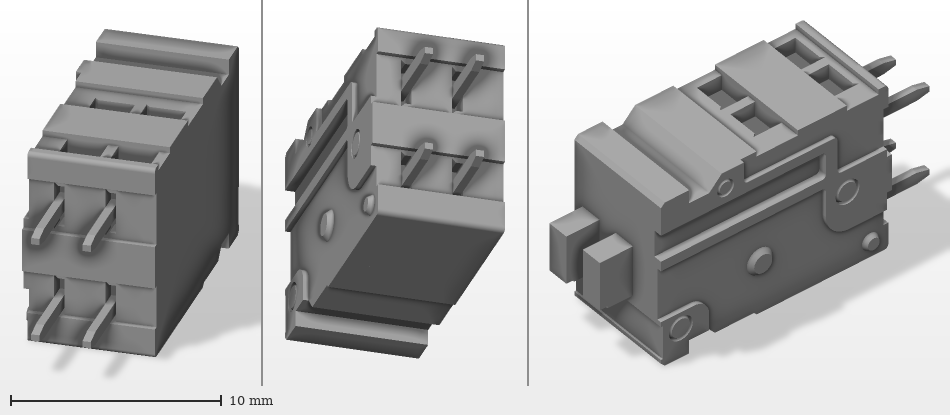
import cadquery as cq


pole_count = 2
end_plate_width = 1.5
pole_pitch = 2.55
body_length = 14.04
body_height = 10.0
front_edge_radius = 0.23
back_edge_chamfer = 0.23

latch_start = 11.1
latch_end = 12.32
top_latch_floor = 9.2
top_ramp_start = 10.35
bottom_latch_floor = 0.8
bottom_ramp_start = 10.54
relief_start = 8.0
relief_depth = 0.18
shelf_depth = 0.31
shelf_floor = body_height - shelf_depth
front_shelf = (0.59, 2.52)
rear_shelf = (5.5, 8.02)
front_step = 0.3
upper_recess = (5.9, 8.65)
lower_recess = (1.55, 3.71)
back_step = 0.12
back_recess = (0.47, 2.48)

raised_height = 0.27
band_top_front = 9.0
band_ledge = 8.68
band_front = 3.3
band_front_ledge = 6.37
band_inner_end = 4.0
band_underside = 5.9
band_bottom = 2.65
band_corner_radius = 0.23
band_sweep_radius = 1.45
groove_depth = 0.5
groove_bottom = 6.5
groove_top = 8.1
corner_tab_top = 2.78
corner_tab_radius = 0.94

bosses = [
    (10.1, 9.01, 0.5, 0.35),
    (2.7, 4.99, 0.72, 0.55),
    (7.82, 3.19, 0.78, 0.55),
    (12.82, 1.8, 0.72, 0.55),
    (1.1, 0.95, 0.5, 0.35),
]

lead_in = 0.2
pocket_width = 2.01
pocket_floor = 8.8
pocket_length = 1.5
slot_width = 0.53
slot_depth = 0.98
slot_end = front_step + slot_depth
upper_slot = (6.22, 8.33)
lower_slot = (lower_recess[0], 3.45)

button_offset = 0.63
button_width = 1.3
button_reach = 2.01
button_bottom = 3.07
button_top = 6.08
button_nose_length = 0.47
button_nose_step = 0.12

contact_thickness = 0.41
prong_height = 0.68
prong_tip_height = 0.33
prong_tip_length = 0.78
prong_reach = 3.5
prong_centres = (2.07, 7.17)
web_width = 0.68
slot_floor_thickness = 0.4
web_front = slot_end + slot_floor_thickness


def extrude_side(points, x_start, width):
    """Extrude a closed outline of (Y, Z) points along X."""
    return cq.Workplane("YZ", origin=(x_start, 0, 0)).polyline(points).close().extrude(width)


def side_box(y_range, z_range, x_start, width):
    """Box given by its Y range, its Z range and its place along X."""
    (y0, y1), (z0, z1) = y_range, z_range
    return extrude_side([(y0, z0), (y1, z0), (y1, z1), (y0, z1)], x_start, width)


def round_corners(body, x_middle, corners, radius):
    """Fillet the edges along X that pass through the given (Y, Z) corners."""
    for y, z in corners:
        edge = cq.selectors.NearestToPointSelector((x_middle, y, z))
        body = body.edges("|X").edges(edge).fillet(radius)
    return body


def profile_slice(x_start, width):
    """Slice of the terminal block with the common side profile."""
    points = [
        (0, 0),
        (0, lower_recess[0]),
        (front_step, lower_recess[0]),
        (front_step, lower_recess[1]),
        (0, lower_recess[1]),
        (0, upper_recess[0]),
        (front_step, upper_recess[0]),
        (front_step, upper_recess[1]),
        (0, upper_recess[1]),
        (0, body_height),
        (front_shelf[0], body_height),
        (front_shelf[0], shelf_floor),
        (front_shelf[1], shelf_floor),
        (front_shelf[1], body_height),
        (rear_shelf[0], body_height),
        (rear_shelf[0], shelf_floor),
        (rear_shelf[1], shelf_floor),
        (rear_shelf[1], body_height),
        (top_ramp_start, body_height),
        (latch_start, top_latch_floor),
        (latch_end, top_latch_floor),
        (latch_end, body_height),
        (body_length - back_edge_chamfer, body_height),
        (body_length, body_height - back_edge_chamfer),
        (body_length, back_recess[1]),
        (body_length - back_step, back_recess[1]),
        (body_length - back_step, back_recess[0]),
        (body_length, back_recess[0]),
        (body_length, back_edge_chamfer),
        (body_length - back_edge_chamfer, 0),
        (latch_end, 0),
        (latch_end, bottom_latch_floor),
        (latch_start, bottom_latch_floor),
        (bottom_ramp_start, relief_depth),
        (relief_start + relief_depth, relief_depth),
        (relief_start, 0),
    ]
    front_corners = [(0, 0), (0, body_height)]
    body = extrude_side(points, x_start, width)
    return round_corners(body, x_start + width / 2, front_corners, front_edge_radius)


def raised_band():
    """Stepped band across the end plate."""
    points = [
        (0, band_bottom),
        (0, band_front_ledge),
        (band_front, band_front_ledge),
        (band_front, band_ledge),
        (band_top_front, band_ledge),
        (band_top_front, body_height),
        (body_length, body_height),
        (body_length, band_underside),
        (band_inner_end, band_underside),
        (band_inner_end, band_bottom),
    ]
    small_corners = [
        (band_front, band_front_ledge),
        (band_front, band_ledge),
        (band_top_front, band_ledge),
        (band_inner_end, band_underside),
    ]
    middle = raised_height / 2
    band = extrude_side(points, 0, raised_height)
    band = round_corners(band, middle, small_corners, band_corner_radius)
    return round_corners(band, middle, [(band_inner_end, band_bottom)], band_sweep_radius)


def side_groove():
    """Groove that runs in from the back of the end plate, inside the raised band."""
    groove = side_box((band_inner_end, body_length), (groove_bottom, groove_top), 0, groove_depth)
    inner_corners = [(band_inner_end, groove_bottom), (band_inner_end, groove_top)]
    return round_corners(groove, groove_depth / 2, inner_corners, band_corner_radius)


def raised_corner_tab():
    """Raised patch with one rounded corner at the lower back of the end plate."""
    tab = side_box((latch_start, body_length), (0, corner_tab_top), 0, raised_height)
    return round_corners(tab, raised_height / 2, [(latch_start, corner_tab_top)], corner_tab_radius)


def boss(y, z, base_radius, top_radius):
    """Tapered round boss that rises from the base face to the outer face of the end plate."""
    return (
        cq.Workplane("YZ", origin=(raised_height, y, z))
        .circle(base_radius)
        .workplane(offset=-raised_height)
        .circle(top_radius)
        .loft(combine=True)
    )


def make_end_plate():
    raised = profile_slice(0, raised_height).intersect(raised_band().union(raised_corner_tab()))
    for y, z, base_radius, _ in bosses:
        clearance = cq.Workplane("YZ", origin=(0, y, z)).circle(base_radius).extrude(raised_height)
        raised = raised.cut(clearance)
    plate = profile_slice(raised_height, end_plate_width - raised_height).union(raised)
    for y, z, base_radius, top_radius in bosses:
        plate = plate.union(boss(y, z, base_radius, top_radius))
    return plate.cut(side_groove())


def top_pocket(x_start, y_start, chamfered_side):
    """Rectangular pocket in the top, chamfered at the mouth of one Y side."""
    pocket = (
        cq.Workplane("XY", origin=(x_start, y_start, pocket_floor))
        .rect(pocket_width, pocket_length, centered=False)
        .extrude(body_height - pocket_floor)
    )
    y_edge = y_start + (pocket_length if chamfered_side > 0 else 0)
    return pocket.union(lead_in_wedge("XY", x_start, y_edge, chamfered_side, pocket_floor, body_height))


def lead_in_wedge(plane, x_start, edge, direction, start, end):
    """Triangular wedge that chamfers one edge of an opening at the -X side of a housing."""
    points = [(x_start, edge), (x_start + lead_in, edge), (x_start, edge + direction * lead_in)]
    return cq.Workplane(plane).workplane(offset=start).polyline(points).close().extrude(end - start)


def front_slot(x_start, z_range, chamfered_sides):
    """Slot in the front face that a prong passes through with clearance."""
    slot = side_box((0, slot_end), z_range, x_start, slot_width)
    for direction in chamfered_sides:
        z_edge = z_range[1] if direction > 0 else z_range[0]
        slot = slot.union(lead_in_wedge("XZ", x_start, z_edge, direction, -slot_end, 0))
    return slot


def push_button(x_start):
    """Button on the back of a housing, with a slightly thinner nose."""
    tip = body_length + button_reach
    nose_bottom = button_bottom + button_nose_step
    points = [
        (body_length, button_bottom),
        (tip - button_nose_length, button_bottom),
        (tip - button_nose_length, nose_bottom),
        (tip, nose_bottom),
        (tip, button_top),
        (body_length, button_top),
    ]
    return extrude_side(points, x_start + button_offset, button_width)


def prong_points(centre):
    """Front outline of one prong, from its lower root around the tip to its upper root."""
    half = prong_height / 2
    half_tip = prong_tip_height / 2
    taper_start = prong_tip_length - prong_reach
    return [
        (web_front, centre - half),
        (taper_start, centre - half),
        (-prong_reach, centre - half_tip),
        (-prong_reach, centre + half_tip),
        (taper_start, centre + half),
        (web_front, centre + half),
    ]


def make_contact(x_start):
    """U-shaped metal contact: two prongs joined by a web behind the slots."""
    lower, upper = prong_centres
    web_back = web_front + web_width
    points = prong_points(lower) + prong_points(upper)
    points += [(web_back, upper + prong_height / 2), (web_back, lower - prong_height / 2)]
    return extrude_side(points, x_start, contact_thickness)


def make_housing(x_start):
    housing = profile_slice(x_start, pole_pitch).union(push_button(x_start))
    housing = housing.cut(top_pocket(x_start, rear_shelf[0], 1))
    housing = housing.cut(top_pocket(x_start, front_shelf[1] - pocket_length, -1))
    housing = housing.cut(front_slot(x_start, upper_slot, (1, -1)))
    housing = housing.cut(front_slot(x_start, lower_slot, (1,)))
    return housing.cut(make_contact(x_start))


end_plate = make_end_plate()
pole_starts = [end_plate_width + i * pole_pitch for i in range(pole_count)]
housings = [make_housing(x) for x in pole_starts]
contacts = [make_contact(x) for x in pole_starts]

result = cq.Compound.makeCompound(
    [end_plate.val()] + [housing.val() for housing in housings] + [contact.val() for contact in contacts]
)